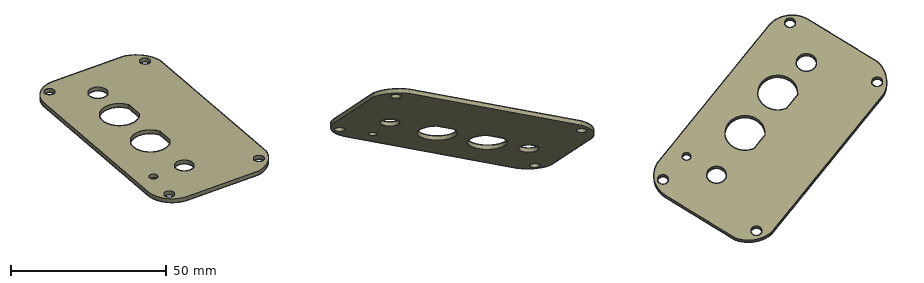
import cadquery as cq

length = 80.0
width = 45.0
thickness = 1.5
half_length = length / 2
half_width = width / 2

rear_inset_x = 8.5
rear_inset_y = 8.5
rear_mid_inset = 3.0
front_inset_x = 9.7
front_inset_y = 9.1
front_mid_inset = 2.7

mount_diameter = 3.5
rear_mount_x = 33.8
rear_mount_y = 18.2
front_mount_x = 35.6
front_mount_y = -17.4

left_hole_diameter = 6.6
left_hole_center = (-26.6, -4.6)
right_hole_diameter = 6.3
right_hole_center = (24.2, -4.3)
small_hole_diameter = 2.8
small_hole_center = (right_hole_center[0], -16.2)

connector_diameter = 12.9
connector_y = -5.8
connector_flat_y = -0.1
connector_xs = (-12.1, 6.2)


def make_plate():
    """Plate with two rear and two front rounded corners."""
    rear_side_y = half_width - rear_inset_y
    rear_edge_x = half_length - rear_inset_x
    rear_mid_x = half_length - rear_mid_inset
    rear_mid_y = half_width - rear_mid_inset
    front_side_y = front_inset_y - half_width
    front_edge_x = half_length - front_inset_x
    front_mid_x = half_length - front_mid_inset
    front_mid_y = front_mid_inset - half_width
    return (
        cq.Workplane("XY")
        .moveTo(-front_edge_x, -half_width)
        .lineTo(front_edge_x, -half_width)
        .threePointArc((front_mid_x, front_mid_y), (half_length, front_side_y))
        .lineTo(half_length, rear_side_y)
        .threePointArc((rear_mid_x, rear_mid_y), (rear_edge_x, half_width))
        .lineTo(-rear_edge_x, half_width)
        .threePointArc((-rear_mid_x, rear_mid_y), (-half_length, rear_side_y))
        .lineTo(-half_length, front_side_y)
        .threePointArc((-front_mid_x, front_mid_y), (-front_edge_x, -half_width))
        .close()
        .extrude(thickness)
    )


def round_cutter(centers, diameter):
    """Cylinders through the plate thickness at the given centers."""
    return cq.Workplane("XY").pushPoints(centers).circle(diameter / 2).extrude(thickness)


def connector_cutter(x):
    """Cylinder whose rear side is trimmed to a flat."""
    cylinder = round_cutter([(x, connector_y)], connector_diameter)
    trim = (
        cq.Workplane("XY")
        .center(x, connector_flat_y)
        .rect(connector_diameter, connector_diameter)
        .extrude(thickness)
        .translate((0, connector_diameter / 2, 0))
    )
    return cylinder.cut(trim)


mount_centers = [
    (side * x, y)
    for side in (-1, 1)
    for x, y in ((rear_mount_x, rear_mount_y), (front_mount_x, front_mount_y))
]

result = make_plate()
result = result.cut(round_cutter(mount_centers, mount_diameter))
result = result.cut(round_cutter([left_hole_center], left_hole_diameter))
result = result.cut(round_cutter([right_hole_center], right_hole_diameter))
result = result.cut(round_cutter([small_hole_center], small_hole_diameter))
for connector_x in connector_xs:
    result = result.cut(connector_cutter(connector_x))